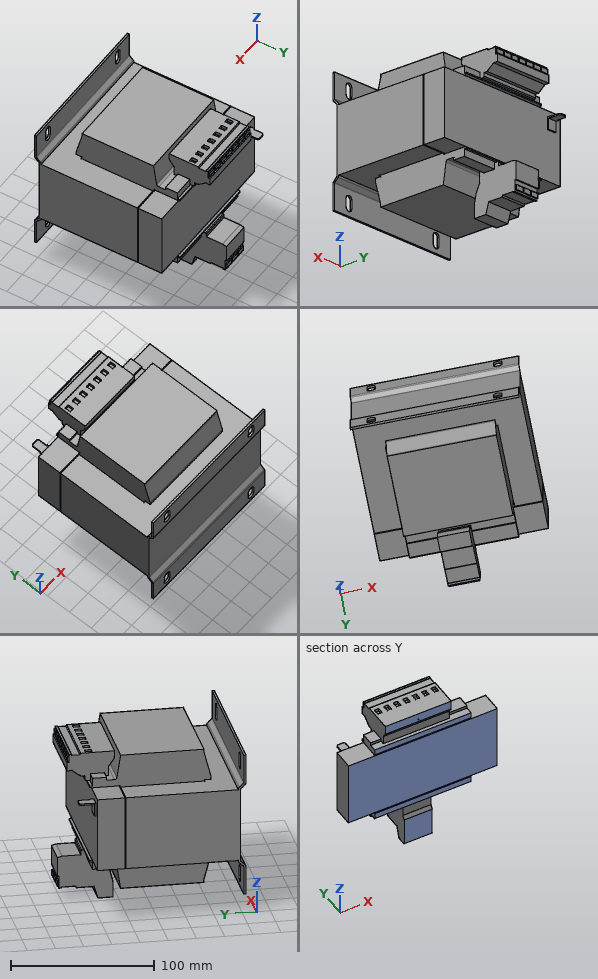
import cadquery as cq
import math


SHEET = 1.6
FOOT_STEP = 3.9
BRACKET_HALF_HEIGHT = 52.5
FOOT_BEND_Z = 31.0
STEP_ANGLE = 45
BEND_INNER_RADIUS = 0.4
SLOT_WIDTH = 5.8
SLOT_LENGTH = 12.2
SLOT_X = 45.0
SLOT_Z = 42.5

CORE_WIDTH = 120.0
CORE_HEIGHT = 53.5
YOKE = CORE_WIDTH / 6
CENTRE_LEG = 2 * YOKE
WINDOW_LENGTH = CORE_WIDTH / 2
WINDOW_OUTER_X = CORE_WIDTH / 2 - YOKE
CORE_FRONT = FOOT_STEP + SHEET
WINDOW_FRONT = CORE_FRONT + YOKE
WINDOW_BACK = WINDOW_FRONT + WINDOW_LENGTH
CORE_BACK = WINDOW_BACK + YOKE
CORE_TOP = CORE_HEIGHT / 2
JOINT_GAP = 0.5
JOINT_DEPTH = 0.5

COIL_WIDTH = 77.8
COIL_TOP = 50.3
COIL_TOP_FRONT = 26.0
COIL_TOP_BACK = 85.1
COIL_TOP_STEP = 2.0
COIL_BASE_FRONT = 21.0
COIL_BASE_BACK = 88.0
FRONT_SLOPE_BOTTOM = 29.7
COIL_CLEARANCE = 0.5
COIL_BOTTOM = CORE_TOP + COIL_CLEARANCE
FLANGE_TOP = 32.3
FLANGE_FILLET = 1.8
RAIL_FRONT = 95.0
RAIL_BACK = 105.0
RAIL_TOP = 34.4
LIP_BACK = 107.0
LIP_TOP = 28.7
LIP_BOTTOM = 27.7

UPPER_POLES = 7
UPPER_WIDTH = 53.2
POLE_PITCH = UPPER_WIDTH / UPPER_POLES
UPPER_LEFT_X = -30.4
LOWER_POLES = 3
LOWER_LEFT_X = UPPER_LEFT_X + 2 * POLE_PITCH
TERMINAL_HOOK_BACK = 108.9
TERMINAL_HOOK_FRONT = 104.2
TERMINAL_HOOK_Z = 29.4
TAB_WIDTH = 6.7
TAB_OVERLAP = 0.6
HOLE_WIDTH = 3.3
HOLE_LENGTH = 4.6
HOLE_Y = 105.7
HOLE_DEPTH = 2.5
CLAMP_BEND_RADIUS = 12.5

LUG_X = -50.3
LUG_THICKNESS = 1.1
LUG_TOP = 21.8
LUG_BOTTOM = 12.3
LUG_WIDTH = 8.0
LUG_SHOULDER_Y = 108.9
BLADE_WIDTH = 6.7
BLADE_TIP_Y = 117.1
BLADE_CHAMFER = 1.0


def box(x_range, y_range, z_range):
    """Box between the given limits on each axis."""
    (x0, x1), (y0, y1), (z0, z1) = x_range, y_range, z_range
    return cq.Workplane("XY").box(x1 - x0, y1 - y0, z1 - z0, centered=False).translate((x0, y0, z0))


def along_x(points, x_start, x_end):
    """Prism along X from a closed (Y, Z) outline."""
    return cq.Workplane("YZ", origin=(x_start, 0, 0)).polyline(points).close().extrude(x_end - x_start)


def bracket():
    half = CORE_WIDTH / 2
    bend_shift = SHEET * math.tan(math.radians(STEP_ANGLE / 2))
    plate_bend_z = FOOT_BEND_Z - FOOT_STEP / math.tan(math.radians(STEP_ANGLE))
    front = [(0, BRACKET_HALF_HEIGHT), (0, FOOT_BEND_Z), (FOOT_STEP, plate_bend_z)]
    back = [
        (CORE_FRONT, plate_bend_z + bend_shift),
        (SHEET, FOOT_BEND_Z + bend_shift),
        (SHEET, BRACKET_HALF_HEIGHT),
    ]
    outline = front + [(y, -z) for y, z in reversed(front)]
    outline += [(y, -z) for y, z in reversed(back)] + back
    sheet = along_x(outline, -half, half)
    for y, z, radius in (
        (0, FOOT_BEND_Z, BEND_INNER_RADIUS + SHEET),
        (SHEET, FOOT_BEND_Z + bend_shift, BEND_INNER_RADIUS),
        (FOOT_STEP, plate_bend_z, BEND_INNER_RADIUS),
        (CORE_FRONT, plate_bend_z + bend_shift, BEND_INNER_RADIUS + SHEET),
    ):
        for side in (1, -1):
            sheet = sheet.edges(cq.NearestToPointSelector((0, y, side * z))).fillet(radius)
    slots = (
        cq.Workplane("XZ")
        .rarray(2 * SLOT_X, 2 * SLOT_Z, 2, 2)
        .slot2D(SLOT_LENGTH, SLOT_WIDTH, 90)
        .extrude(-SHEET)
    )
    return sheet.cut(slots)


def core():
    half = CORE_WIDTH / 2
    height = (-CORE_TOP, CORE_TOP)
    stack = box((-half, half), (CORE_FRONT, CORE_BACK), height)
    for x_range in ((-WINDOW_OUTER_X, -CENTRE_LEG / 2), (CENTRE_LEG / 2, WINDOW_OUTER_X)):
        stack = stack.cut(box(x_range, (WINDOW_FRONT, WINDOW_BACK), height))
    groove_y = (WINDOW_BACK - JOINT_GAP / 2, WINDOW_BACK + JOINT_GAP / 2)
    joint = box((-half, half), groove_y, height)
    inner = half - JOINT_DEPTH
    inner_top = CORE_TOP - JOINT_DEPTH
    joint = joint.cut(box((-inner, inner), groove_y, (-inner_top, inner_top)))
    return stack.cut(joint)


def coil():
    """Winding through both core windows, with an overhang above and below the core."""
    half = COIL_WIDTH / 2
    overhang_outline = [
        (WINDOW_BACK, 0),
        (WINDOW_BACK, COIL_BOTTOM),
        (CORE_BACK, COIL_BOTTOM),
        (LIP_BACK, LIP_BOTTOM),
        (LIP_BACK, LIP_TOP),
        (RAIL_BACK, LIP_TOP),
        (RAIL_BACK, RAIL_TOP),
        (RAIL_FRONT, RAIL_TOP),
        (RAIL_FRONT, FLANGE_TOP),
        (COIL_BASE_BACK, FLANGE_TOP),
        (COIL_TOP_BACK, COIL_TOP),
        (COIL_TOP_FRONT, COIL_TOP),
        (COIL_TOP_FRONT, COIL_TOP - COIL_TOP_STEP),
        (COIL_BASE_FRONT, FRONT_SLOPE_BOTTOM),
        (COIL_BASE_FRONT, COIL_BOTTOM),
        (WINDOW_FRONT, COIL_BOTTOM),
        (WINDOW_FRONT, 0),
    ]
    upper = along_x(overhang_outline, -half, half)
    upper = upper.edges(cq.NearestToPointSelector((0, COIL_BASE_BACK, FLANGE_TOP))).fillet(FLANGE_FILLET)
    return upper.union(upper.mirror("XY"))


def pole_tabs(left_x, poles, y_range, z_range):
    """One marking tab per pole on the back of a terminal block."""
    tabs = cq.Workplane("XY")
    for pole in range(poles):
        centre = left_x + (pole + 0.5) * POLE_PITCH
        tabs = tabs.union(box((centre - TAB_WIDTH / 2, centre + TAB_WIDTH / 2), y_range, z_range))
    return tabs


def upper_terminals():
    right_x = UPPER_LEFT_X + UPPER_WIDTH
    front_y = 87.8
    stem_y = 92.0
    back_y = 120.0
    ledge_y = 121.6
    outline = [
        (stem_y, FLANGE_TOP),
        (stem_y, 39.0),
        (front_y, 45.0),
        (front_y, COIL_TOP),
        (111.8, COIL_TOP),
        (112.5, 49.3),
        (118.2, 49.3),
        (118.2, 49.8),
        (back_y, 49.8),
        (back_y, 44.0),
        (ledge_y, 44.0),
        (ledge_y, 37.8),
        (118.0, 37.8),
        (111.8, 33.0),
        (TERMINAL_HOOK_BACK, 33.0),
        (TERMINAL_HOOK_BACK, 30.2),
        (108.2, TERMINAL_HOOK_Z),
        (TERMINAL_HOOK_FRONT, TERMINAL_HOOK_Z),
        (TERMINAL_HOOK_FRONT, FLANGE_TOP),
    ]
    block = along_x(outline, UPPER_LEFT_X, right_x)
    block = block.union(pole_tabs(UPPER_LEFT_X, UPPER_POLES, (back_y - TAB_OVERLAP, 121.0), (44.8, 48.3)))
    holes = (
        cq.Workplane("XY", origin=((UPPER_LEFT_X + right_x) / 2, HOLE_Y, COIL_TOP))
        .rarray(POLE_PITCH, 1.3, UPPER_POLES, 1)
        .rect(HOLE_WIDTH, HOLE_LENGTH)
        .extrude(-HOLE_DEPTH)
    )
    return block.cut(holes)


def lower_terminals():
    right_x = LOWER_LEFT_X + LOWER_POLES * POLE_PITCH
    back_y = 124.5
    ledge_y = 125.5
    stem_y = 91.0
    clamp_y = 86.0
    bottom_z = -66.4
    clamp_bend_z = -54.8
    outline = [
        (stem_y, -FLANGE_TOP),
        (stem_y, -40.8),
        (88.0, -46.8),
        (clamp_y, clamp_bend_z),
        (clamp_y, bottom_z),
        (96.8, bottom_z),
        (99.4, -57.5),
        (112.1, -57.5),
        (112.7, -56.2),
        (122.7, -56.2),
        (122.7, -56.9),
        (back_y, -56.9),
        (back_y, -47.8),
        (ledge_y, -47.8),
        (ledge_y, -33.6),
        (122.2, -32.8),
        (TERMINAL_HOOK_BACK, -32.8),
        (TERMINAL_HOOK_BACK, -30.2),
        (108.2, -TERMINAL_HOOK_Z),
        (TERMINAL_HOOK_FRONT, -TERMINAL_HOOK_Z),
        (TERMINAL_HOOK_FRONT, -FLANGE_TOP),
    ]
    block = along_x(outline, LOWER_LEFT_X, right_x)
    clamp_edge = cq.NearestToPointSelector(((LOWER_LEFT_X + right_x) / 2, clamp_y, clamp_bend_z))
    block = block.edges(clamp_edge).fillet(CLAMP_BEND_RADIUS)
    return block.union(pole_tabs(LOWER_LEFT_X, LOWER_POLES, (back_y - TAB_OVERLAP, ledge_y), (-55.5, -51.6)))


def earth_lug():
    def across(width):
        return LUG_X - width / 2, LUG_X + width / 2

    blade_z = (LUG_TOP - LUG_THICKNESS, LUG_TOP)
    leg = box(across(LUG_WIDTH), (CORE_BACK, CORE_BACK + LUG_THICKNESS), (LUG_BOTTOM, LUG_TOP))
    shoulder = box(across(LUG_WIDTH), (CORE_BACK, LUG_SHOULDER_Y), blade_z)
    blade = box(across(BLADE_WIDTH), (CORE_BACK, BLADE_TIP_Y), blade_z)
    blade = blade.edges("|Z and >Y").chamfer(BLADE_CHAMFER)
    return leg.union(shoulder).union(blade)


result = (
    core()
    .union(bracket())
    .union(coil())
    .union(upper_terminals())
    .union(lower_terminals())
    .union(earth_lug())
)